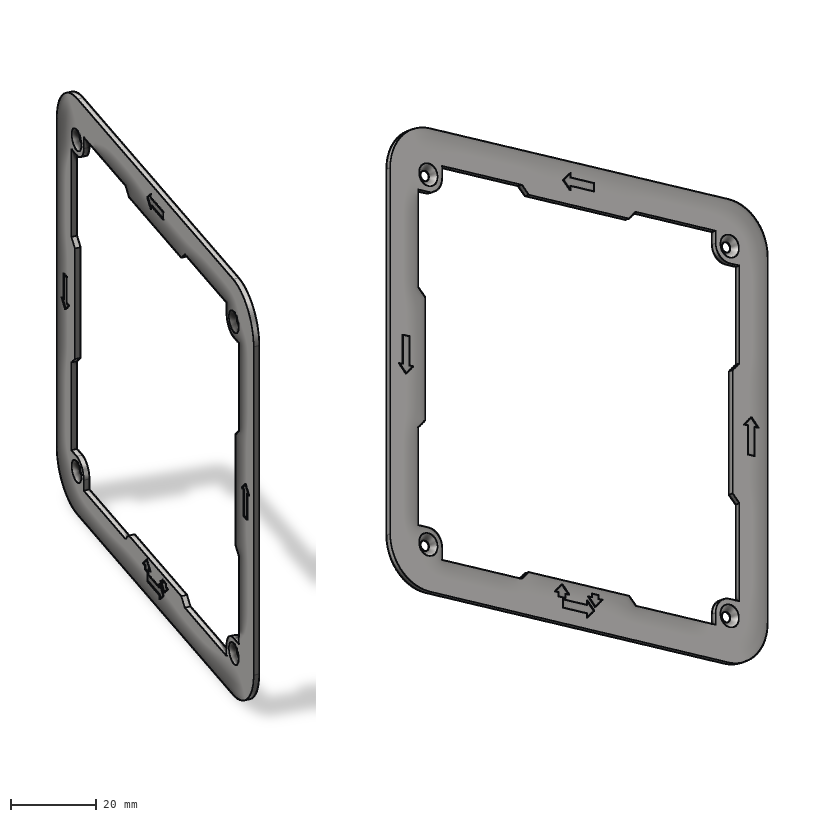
import cadquery as cq

SIZE = 114.0
THICKNESS = 1.5
CORNER_RADIUS = 12.0
RIM_WIDTH = 8.5

TAB_HEIGHT = 2.0
TAB_TIP_LENGTH = 30.3

HOLE_INSET = 11.5
LUG_RADIUS = 4.2
HOLE_DIAMETER = 2.5
COUNTERSINK_DIAMETER = 5.6
COUNTERSINK_ANGLE = 100.0

ENGRAVING_DEPTH = 0.2
ARROW_INSET = 4.9
ARROW_LENGTH = 9.3
ARROW_HEAD_LENGTH = 2.2
ARROW_HEAD_WIDTH = 4.2
ARROW_SHAFT_WIDTH = 2.0
SIDE_ARROW_OFFSET = 5.0
UP_ARROW_TIP_INSET = 9.6
UP_ARROW_LENGTH = 3.2
DOWN_ARROW_TIP_INSET = 5.9
DOWN_ARROW_LENGTH = 3.1

HALF_SIZE = SIZE / 2
HALF_OPENING = HALF_SIZE - RIM_WIDTH
HOLE_OFFSET = HALF_SIZE - HOLE_INSET


def front_plane():
    """Workplane on the front face: local x is +X, local y is +Z, normal is -Y."""
    return cq.Workplane("XZ", origin=(0, -THICKNESS / 2, 0))


def plate(sketch):
    """Extrude a front-face outline back through the full thickness."""
    return sketch.extrude(-THICKNESS)


def turned(shape, quarter_turns):
    return shape.rotate((0, 0, 0), (0, 1, 0), 90 * quarter_turns)


def rim():
    outer = plate(front_plane().rect(SIZE, SIZE)).edges("|Y").fillet(CORNER_RADIUS)
    return outer.cut(plate(front_plane().rect(2 * HALF_OPENING, 2 * HALF_OPENING)))


def bottom_tab():
    half_tip = TAB_TIP_LENGTH / 2
    half_base = half_tip + TAB_HEIGHT
    base_z = -HALF_OPENING
    tip_z = base_z + TAB_HEIGHT
    outline = [(-half_base, base_z), (half_base, base_z), (half_tip, tip_z), (-half_tip, tip_z)]
    return plate(front_plane().polyline(outline).close())


def bottom_left_lug():
    """Block reaching into the opening, rounded about the hole centre."""
    outer = -HALF_OPENING
    inner = -HOLE_OFFSET + LUG_RADIUS
    side = inner - outer
    middle = (outer + inner) / 2
    block = plate(front_plane().center(middle, middle).rect(side, side))
    return block.edges("|Y and >X and >Z").fillet(LUG_RADIUS)


def arrow(tip, length, angle):
    """Arrow-shaped cutter; an angle of zero points it towards +X."""
    half_head = ARROW_HEAD_WIDTH / 2
    half_shaft = ARROW_SHAFT_WIDTH / 2
    outline = [
        (0, 0),
        (-ARROW_HEAD_LENGTH, half_head),
        (-ARROW_HEAD_LENGTH, half_shaft),
        (-length, half_shaft),
        (-length, -half_shaft),
        (-ARROW_HEAD_LENGTH, -half_shaft),
        (-ARROW_HEAD_LENGTH, -half_head),
    ]
    sketch = front_plane().center(*tip).transformed(rotate=(0, 0, angle))
    return sketch.polyline(outline).close().extrude(-ENGRAVING_DEPTH)


frame = rim()
for turn in range(4):
    frame = frame.union(turned(bottom_tab(), turn))
    frame = frame.union(turned(bottom_left_lug(), turn))

frame = (
    frame.faces("<Y")
    .workplane(origin=(0, -THICKNESS / 2, 0))
    .rect(2 * HOLE_OFFSET, 2 * HOLE_OFFSET, forConstruction=True)
    .vertices()
    .cskHole(HOLE_DIAMETER, COUNTERSINK_DIAMETER, COUNTERSINK_ANGLE)
)

main_arrow = arrow((ARROW_LENGTH / 2, -HALF_SIZE + ARROW_INSET), ARROW_LENGTH, 0)
for turn in range(4):
    frame = frame.cut(turned(main_arrow, turn))

up_arrow = arrow((-SIDE_ARROW_OFFSET, -HALF_SIZE + UP_ARROW_TIP_INSET), UP_ARROW_LENGTH, 90)
down_arrow = arrow((SIDE_ARROW_OFFSET, -HALF_SIZE + DOWN_ARROW_TIP_INSET), DOWN_ARROW_LENGTH, -90)

result = frame.cut(up_arrow).cut(down_arrow)